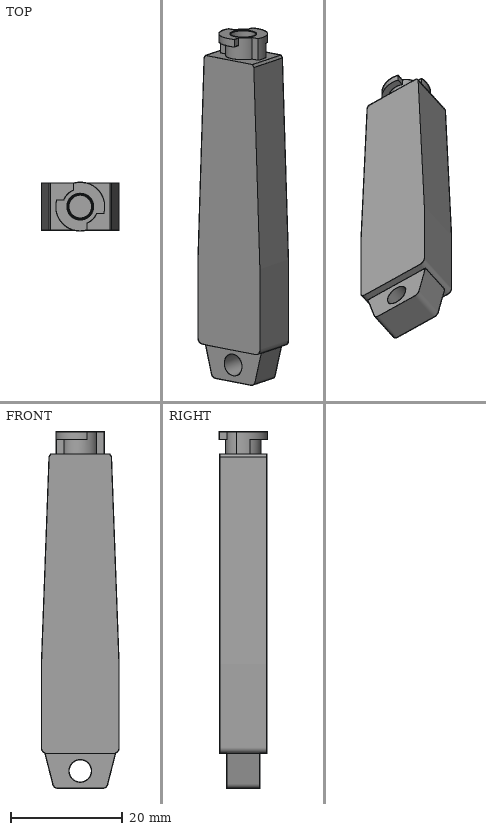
import cadquery as cq

BODY_WIDTH = 14.0
BODY_TOP_WIDTH = 11.25
BODY_DEPTH = 8.5
BODY_HEIGHT = 53.8
STRAIGHT_HEIGHT = 16.0
BODY_BOTTOM_RADIUS = 1.0
BODY_TOP_CHAMFER_WIDTH = 0.3
BODY_TOP_CHAMFER_HEIGHT = 0.5

TAB_HEIGHT = 6.3
TAB_TOP_WIDTH = 12.7
TAB_BOTTOM_WIDTH = 9.5
TAB_DEPTH = 6.0
TAB_CORNER_RADIUS = 1.0
LANYARD_HOLE_DIAMETER = 4.0
LANYARD_HOLE_Z = -TAB_HEIGHT / 2

CONNECTOR_DIAMETER = 8.8
CORE_DIAMETER = 6.4
CONNECTOR_HEIGHT = 4.0
FLANGE_THICKNESS = 1.4
LUG_WIDTH = 2.45
BORE_DIAMETER = 4.6
BORE_DEPTH = 2.0
BORE_MOUTH_BEVEL = 0.1

DISC_DIAMETER = 4.4
DISC_TOP_DEPTH = 1.4
DISC_BEVEL = 0.15


def make_body():
    half_bottom = BODY_WIDTH / 2
    half_top = BODY_TOP_WIDTH / 2
    shoulder_z = BODY_HEIGHT - BODY_TOP_CHAMFER_HEIGHT
    half_flat = half_top - BODY_TOP_CHAMFER_WIDTH
    outline = [
        (-half_bottom, 0),
        (half_bottom, 0),
        (half_bottom, STRAIGHT_HEIGHT),
        (half_top, shoulder_z),
        (half_flat, BODY_HEIGHT),
        (-half_flat, BODY_HEIGHT),
        (-half_top, shoulder_z),
        (-half_bottom, STRAIGHT_HEIGHT),
    ]
    body = cq.Workplane("XZ").polyline(outline).close().extrude(BODY_DEPTH / 2, both=True)
    return body.faces("<Z").edges("|Y").fillet(BODY_BOTTOM_RADIUS)


def make_tab():
    half_top = TAB_TOP_WIDTH / 2
    half_bottom = TAB_BOTTOM_WIDTH / 2
    outline = [
        (-half_top, 0),
        (half_top, 0),
        (half_bottom, -TAB_HEIGHT),
        (-half_bottom, -TAB_HEIGHT),
    ]
    tab = cq.Workplane("XZ").polyline(outline).close().extrude(TAB_DEPTH / 2, both=True)
    tab = tab.faces("<Z").edges("|Y").fillet(TAB_CORNER_RADIUS)
    hole = (
        cq.Workplane("XZ")
        .center(0, LANYARD_HOLE_Z)
        .circle(LANYARD_HOLE_DIAMETER / 2)
        .extrude(TAB_DEPTH, both=True)
    )
    return tab.cut(hole)


def cylinder(diameter, bottom, height):
    return cq.Workplane("XY").workplane(offset=bottom).circle(diameter / 2).extrude(height)


def make_bore_void(top):
    """Empty space of the bore: bevelled mouth, minus the bevelled disc on its floor."""
    void = cylinder(BORE_DIAMETER, top - BORE_DEPTH, BORE_DEPTH)
    mouth_bevel = cq.Workplane("XY").add(
        cq.Solid.makeCone(
            BORE_DIAMETER / 2,
            BORE_DIAMETER / 2 + BORE_MOUTH_BEVEL,
            BORE_MOUTH_BEVEL,
            cq.Vector(0, 0, top - BORE_MOUTH_BEVEL),
        )
    )
    disc = cylinder(DISC_DIAMETER, top - BORE_DEPTH, BORE_DEPTH - DISC_TOP_DEPTH)
    disc = disc.faces(">Z").chamfer(DISC_BEVEL)
    return void.union(mouth_bevel).cut(disc)


def make_connector():
    top = BODY_HEIGHT + CONNECTOR_HEIGHT
    core = cylinder(CORE_DIAMETER, BODY_HEIGHT, CONNECTOR_HEIGHT)
    flange = cylinder(CONNECTOR_DIAMETER, top - FLANGE_THICKNESS, FLANGE_THICKNESS)

    notch_size = CONNECTOR_DIAMETER / 2
    notch_offset = LUG_WIDTH / 2 + notch_size / 2
    for side in (-1, 1):
        notch = (
            cq.Workplane("XY")
            .workplane(offset=BODY_HEIGHT)
            .center(side * notch_offset, -side * notch_offset)
            .rect(notch_size, notch_size)
            .extrude(CONNECTOR_HEIGHT)
        )
        flange = flange.cut(notch)

    lug_bar = (
        cq.Workplane("XY")
        .workplane(offset=BODY_HEIGHT)
        .rect(CONNECTOR_DIAMETER, LUG_WIDTH)
        .extrude(CONNECTOR_HEIGHT)
    )
    lugs = cylinder(CONNECTOR_DIAMETER, BODY_HEIGHT, CONNECTOR_HEIGHT).intersect(lug_bar)

    return core.union(flange).union(lugs).cut(make_bore_void(top))


result = make_body().union(make_tab()).union(make_connector())